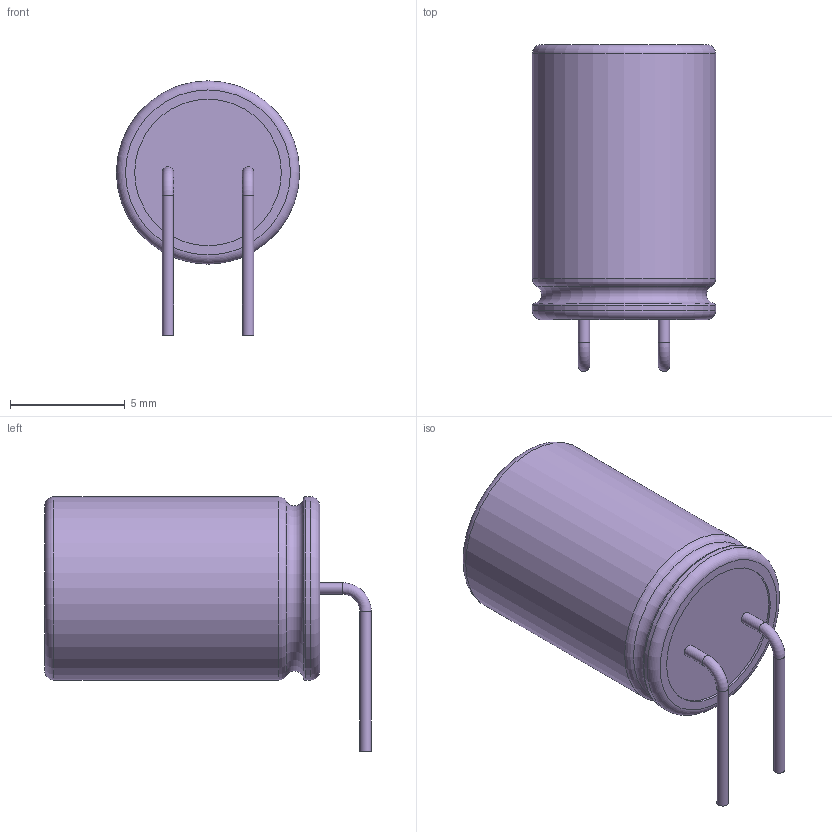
import cadquery as cq
import math

can_diameter = 8.0
can_length = 12.0
can_radius = can_diameter / 2
rim_fillet = 0.4

groove_center_y = 1.1
groove_radius = 0.4
front_shoulder_radius = 0.1
rear_shoulder_radius = 0.4

recess_diameter = 6.4
recess_depth = 0.1

lead_diameter = 0.5
lead_pitch = 3.5
lead_bend_radius = 1.0
lead_bend_start = 1.0
lead_drop = 7.1
lead_root_depth = 0.5


def shoulder_offsets(shoulder_radius):
    """Distances along Y from the groove centre to both ends of a shoulder arc, and the inner end's radius.

    The shoulder is tangent to the groove arc and to the can's outer surface.
    """
    center_distance = groove_radius + shoulder_radius
    outer_offset = math.sqrt(center_distance**2 - shoulder_radius**2)
    groove_share = groove_radius / center_distance
    inner_offset = groove_share * outer_offset
    inner_end_radius = can_radius - groove_share * shoulder_radius
    return outer_offset, inner_offset, inner_end_radius


def make_can():
    """Revolve half of the can's section, X being the radius, around the Y axis."""
    front_outer, front_inner, front_inner_radius = shoulder_offsets(front_shoulder_radius)
    rear_outer, rear_inner, rear_inner_radius = shoulder_offsets(rear_shoulder_radius)
    groove_bottom = (can_radius - groove_radius, groove_center_y)

    section = (
        cq.Workplane("XY")
        .lineTo(can_radius - rim_fillet, 0)
        .radiusArc((can_radius, rim_fillet), -rim_fillet)
        .lineTo(can_radius, groove_center_y - front_outer)
        .radiusArc((front_inner_radius, groove_center_y - front_inner), -front_shoulder_radius)
        .threePointArc(groove_bottom, (rear_inner_radius, groove_center_y + rear_inner))
        .radiusArc((can_radius, groove_center_y + rear_outer), -rear_shoulder_radius)
        .lineTo(can_radius, can_length - rim_fillet)
        .radiusArc((can_radius - rim_fillet, can_length), -rim_fillet)
        .lineTo(0, can_length)
        .close()
    )
    return section.revolve(360, (0, 0, 0), (0, 1, 0))


def make_recess():
    """Disc to remove from the lead end; the XZ plane's normal is -Y."""
    return cq.Workplane("XZ", origin=(0, recess_depth, 0)).circle(recess_diameter / 2).extrude(recess_depth)


def make_lead(lead_x):
    """One bent lead, rooted inside the can so that it fuses with it."""
    drop_y = -lead_bend_start - lead_bend_radius
    path = (
        cq.Workplane("YZ", origin=(lead_x, 0, 0))
        .moveTo(lead_root_depth, 0)
        .lineTo(-lead_bend_start, 0)
        .tangentArcPoint((drop_y, -lead_bend_radius), relative=False)
        .lineTo(drop_y, -lead_drop)
    )
    wire_end = cq.Workplane("XZ", origin=(lead_x, lead_root_depth, 0)).circle(lead_diameter / 2)
    return wire_end.sweep(path)


result = make_can().cut(make_recess())
for side in (-1, 1):
    result = result.union(make_lead(side * lead_pitch / 2))